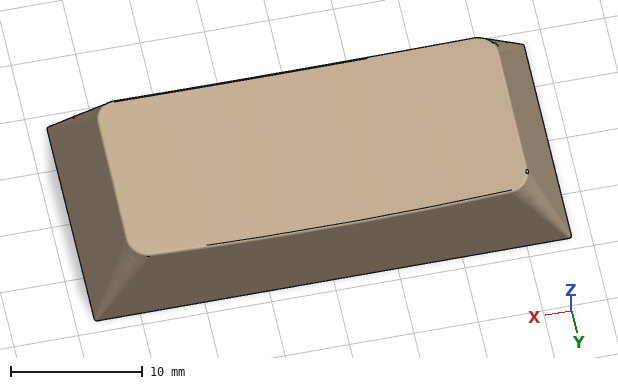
import cadquery as cq
import math

base_length = 37.05
base_width = 18.0
base_corner_radius = 0.25

loft_height = 7.5
side_inset = 3.15
front_inset = 3.5
back_inset = 0.72
loft_corner_radius = 1.8

dish_radius = 215.0
dish_tilt = 1.5
dish_floor_height = 6.585
rim_fillet = 0.2

cutter_length = 2 * base_width


def rounded_rectangle(length, width, corner_radius):
    """Sketch of a rectangle with equally rounded corners."""
    return cq.Sketch().rect(length, width).vertices().fillet(corner_radius)


def tapered_body():
    """Solid with flat leaning walls and corners whose radius grows upward."""
    top_length = base_length - 2 * side_inset
    top_width = base_width - front_inset - back_inset
    top_center_y = (front_inset - back_inset) / 2
    base = rounded_rectangle(base_length, base_width, base_corner_radius)
    top = rounded_rectangle(top_length, top_width, loft_corner_radius)
    top_plane = cq.Location(cq.Vector(0, top_center_y, loft_height), cq.Vector(1, 0, 0), -dish_tilt)
    top = top.moved(top_plane)
    return cq.Workplane("XY").placeSketch(base, top).loft(ruled=True)


def dish_cutter():
    """Cylinder whose lowest line forms the floor of the dish."""
    tilt = math.radians(dish_tilt)
    axis = cq.Vector(0, math.cos(tilt), -math.sin(tilt))
    upward = cq.Vector(0, math.sin(tilt), math.cos(tilt))
    axis_center = cq.Vector(0, 0, dish_floor_height) + upward * dish_radius
    start = axis_center - axis * (cutter_length / 2)
    return cq.Workplane(cq.Solid.makeCylinder(dish_radius, cutter_length, start, axis))


dished_body = tapered_body().cut(dish_cutter())

rounded_body = dished_body.faces("%CYLINDER").edges().fillet(rim_fillet)
result = rounded_body.solids()